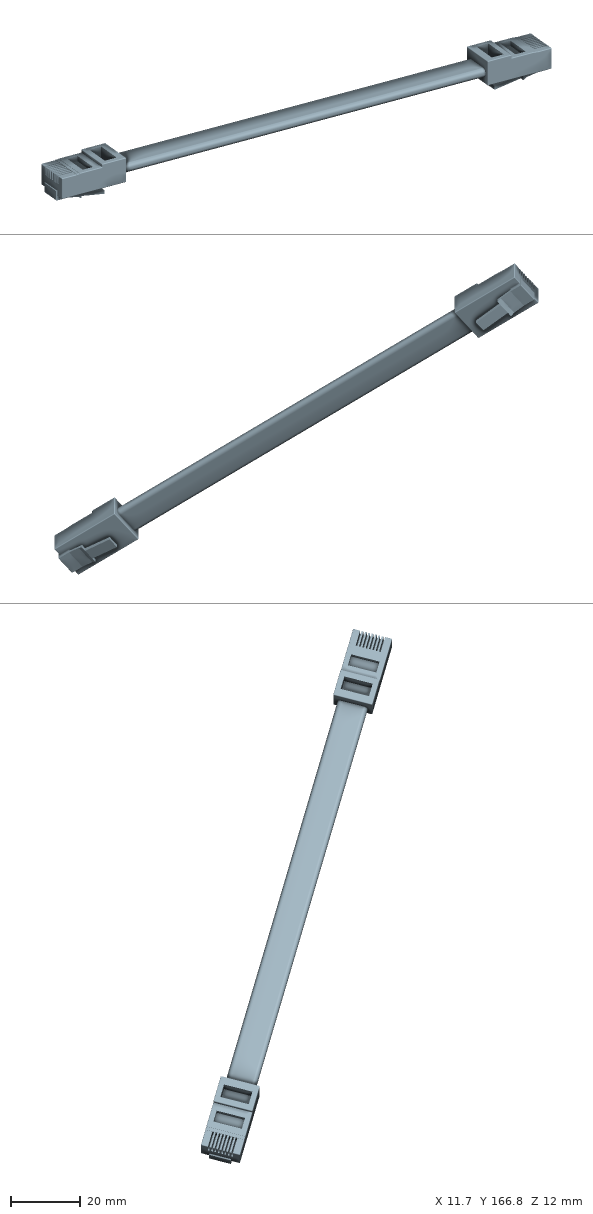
import cadquery as cq

LENGTH = 166.8
OVERALL_HEIGHT = 12.0

PLUG_WIDTH = 11.7
PLUG_REAR = 61.2
PLUG_FRONT = 82.97
STEP_Y = 69.4
REAR_HEIGHT = 7.8
FRONT_HEIGHT = 6.8
EDGE_RADIUS = 0.25

LEDGE_Y = 77.0
DECK_Y = 78.0
LEDGE_DROP = 0.1

POCKET_WIDTH = 8.5
REAR_POCKET_FLOOR = 4.2
MIDDLE_POCKET_FLOOR = 5.2
REAR_POCKET = (63.5, 67.5)
MIDDLE_POCKET = (71.5, 75.0)

SLOT_COUNT = 8
SLOT_PITCH = 1.0
SLOT_WIDTH = 0.5
SLOT_FLOOR = 4.0

LATCH_FRONT = LENGTH / 2
LATCH_WIDTH = 6.5
ROOT_LENGTH = 3.8
ROOT_TOP = 1.7
ROOT_BOTTOM = -1.42
ARM_TOP = -0.7
KNEE_Y = 76.0
KNEE_BOTTOM = -2.0
ARM_END_Y = 74.9
ARM_END_BOTTOM = -2.75
TIP_WIDTH = 3.5
TIP_Y = 66.0
TIP_BOTTOM = REAR_HEIGHT - OVERALL_HEIGHT
TIP_THICKNESS = 1.08

CABLE_WIDTH = 9.0
CABLE_HEIGHT = 2.8
CABLE_RADIUS = 1.25
CABLE_Z = 3.3


def block(width, y_range, z_range):
    """Box centred on X that spans the given Y and Z ranges."""
    depth = y_range[1] - y_range[0]
    height = z_range[1] - z_range[0]
    box = cq.Workplane("XY").box(width, depth, height, centered=(True, False, False))
    return box.translate((0, y_range[0], z_range[0]))


def side_profile(points, width):
    """Prism centred on X with the given (Y, Z) outline."""
    return cq.Workplane("YZ").polyline(points).close().extrude(width / 2, both=True)


def make_tier(front_y, height, rounded_edges):
    tier = block(PLUG_WIDTH, (PLUG_REAR, front_y), (0, height))
    return tier.edges(rounded_edges).fillet(EDGE_RADIUS)


def make_shell():
    """Blocks from the rear face forward, each longer and lower; the two ledges keep a sharp front."""
    shell = make_tier(STEP_Y, REAR_HEIGHT, None)
    shell = shell.union(make_tier(LEDGE_Y, FRONT_HEIGHT, "not >Y"))
    shell = shell.union(make_tier(DECK_Y, FRONT_HEIGHT - LEDGE_DROP, "not >Y"))
    return shell.union(make_tier(PLUG_FRONT, FRONT_HEIGHT - 2 * LEDGE_DROP, None))


def make_pockets():
    rear = block(POCKET_WIDTH, REAR_POCKET, (REAR_POCKET_FLOOR, REAR_HEIGHT))
    middle = block(POCKET_WIDTH, MIDDLE_POCKET, (MIDDLE_POCKET_FLOOR, REAR_HEIGHT))
    return rear.union(middle)


def make_slot(index):
    x = (index - (SLOT_COUNT - 1) / 2) * SLOT_PITCH
    slot = block(SLOT_WIDTH, (DECK_Y, PLUG_FRONT), (SLOT_FLOOR, FRONT_HEIGHT))
    return slot.translate((x, 0, 0))


def make_latch():
    root_y = LATCH_FRONT - ROOT_LENGTH
    root = block(LATCH_WIDTH, (root_y, LATCH_FRONT), (ROOT_BOTTOM, ROOT_TOP))
    root = root.edges(">Y and <Z").fillet(EDGE_RADIUS)

    tip_top = TIP_BOTTOM + TIP_THICKNESS
    slope = (ARM_TOP - tip_top) / (root_y - TIP_Y)
    arm_end_top = tip_top + slope * (ARM_END_Y - TIP_Y)
    arm = side_profile(
        [
            (root_y, ARM_TOP),
            (root_y, ROOT_BOTTOM),
            (KNEE_Y, KNEE_BOTTOM),
            (ARM_END_Y, ARM_END_BOTTOM),
            (ARM_END_Y, arm_end_top),
        ],
        LATCH_WIDTH,
    )
    tip = side_profile(
        [
            (ARM_END_Y, arm_end_top),
            (ARM_END_Y, ARM_END_BOTTOM),
            (TIP_Y, TIP_BOTTOM),
            (TIP_Y, tip_top),
        ],
        TIP_WIDTH,
    )
    return root.union(arm).union(tip)


def make_plug(end):
    """Plug at the +Y end of the cable (end = 1) or at the -Y end (end = -1)."""
    plug = make_shell().cut(make_pockets())
    for index in range(SLOT_COUNT):
        plug = plug.cut(make_slot(index))
    plug = plug.union(make_latch())
    return plug if end > 0 else plug.mirror("XZ")


def make_cable():
    cable = cq.Workplane("XZ").rect(CABLE_WIDTH, CABLE_HEIGHT).extrude(PLUG_REAR, both=True)
    return cable.edges("|Y").fillet(CABLE_RADIUS).translate((0, 0, CABLE_Z))


cable = make_cable()
plugs = [make_plug(end) for end in (1, -1)]

result = cq.Compound.makeCompound([cable.val(), *[plug.val() for plug in plugs]])